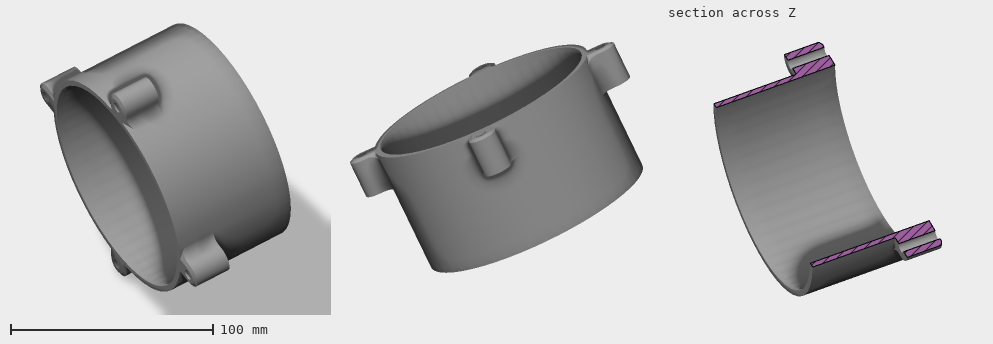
import cadquery as cq
import math

overall_span = 144.0
ring_length = 65.0
ring_outer_radius = 116.0 / 2
ring_inner_radius = 110.0 / 2

lug_count = 4
lug_length = 20.0
lug_radius = 7.0
lug_root_fillet = 6.0
screw_hole_diameter = 5.5
hole_circle_radius = overall_span / 2 - lug_radius

land_radius = 4.9
slope_angle = math.degrees(math.atan2(2.0, 1.0))
slope_depth = 4.3

front_y = -ring_length / 2
wall_middle_radius = (ring_outer_radius + ring_inner_radius) / 2


def front_plane():
    """Sketch plane on the front face: local x is X, local y is Z, normal is -Y."""
    return cq.Workplane("XZ", origin=(0, front_y, 0))


def lug_outline():
    """Round-ended lug whose sides flow into the ring through concave fillets."""
    fillet_x = lug_radius + lug_root_fillet
    fillet_center_distance = ring_outer_radius + lug_root_fillet
    fillet_z = math.sqrt(fillet_center_distance**2 - fillet_x**2)
    contact_ratio = ring_outer_radius / fillet_center_distance
    contact_x = fillet_x * contact_ratio
    contact_z = fillet_z * contact_ratio

    end_angle = math.atan2(-fillet_z, -fillet_x)
    middle_angle = (end_angle - math.pi) / 2
    middle_x = fillet_x + lug_root_fillet * math.cos(middle_angle)
    middle_z = fillet_z + lug_root_fillet * math.sin(middle_angle)

    root_ratio = wall_middle_radius / ring_outer_radius
    root_x = contact_x * root_ratio
    root_z = contact_z * root_ratio
    return (
        front_plane()
        .moveTo(root_x, root_z)
        .lineTo(contact_x, contact_z)
        .threePointArc((middle_x, middle_z), (lug_radius, fillet_z))
        .lineTo(lug_radius, hole_circle_radius)
        .threePointArc((0, overall_span / 2), (-lug_radius, hole_circle_radius))
        .lineTo(-lug_radius, fillet_z)
        .threePointArc((-middle_x, middle_z), (-contact_x, contact_z))
        .lineTo(-root_x, root_z)
        .threePointArc((0, wall_middle_radius), (root_x, root_z))
        .close()
    )


def land_outline():
    """Flat front land, a slot shape reaching from the ring axis past the hole."""
    return (
        front_plane()
        .moveTo(land_radius, 0)
        .lineTo(land_radius, hole_circle_radius)
        .threePointArc((0, hole_circle_radius + land_radius), (-land_radius, hole_circle_radius))
        .lineTo(-land_radius, 0)
        .close()
    )


def make_lug():
    sloped_front = land_outline().extrude(-slope_depth, taper=-slope_angle)
    back_block = (
        front_plane()
        .workplane(offset=-slope_depth)
        .rect(overall_span, 2 * overall_span)
        .extrude(slope_depth - lug_length)
    )
    return lug_outline().extrude(-lug_length).intersect(sloped_front.union(back_block))


ring = front_plane().circle(ring_outer_radius).circle(ring_inner_radius).extrude(-ring_length)

lug = make_lug()
result = ring
for index in range(lug_count):
    result = result.union(lug.rotate((0, 0, 0), (0, 1, 0), index * 360 / lug_count))

screw_holes = (
    front_plane()
    .polarArray(hole_circle_radius, 0, 360, lug_count)
    .circle(screw_hole_diameter / 2)
    .extrude(-lug_length)
)
result = result.cut(screw_holes)